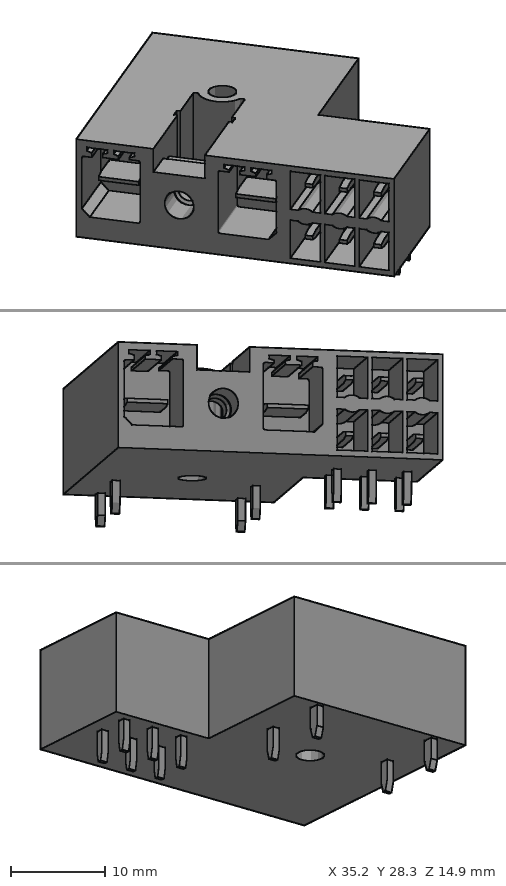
import cadquery as cq
import math


LENGTH = 35.25
DEPTH = 28.3
HEIGHT = 11.42
MID_Z = HEIGHT / 2
POWER_SIDE_LENGTH = 22.9
SIGNAL_SIDE_DEPTH = 13.3
CAVITY_DEPTH = 7.05

SLOT_X = 11.42
SLOT_WIDTH = 5.7
SLOT_END_Y = 14.75
SLOT_CORNER_BULGE = 0.2
LIP_DEPTH = 3.63
LIP_DROP = 2.7
MOUNT_HOLE_Y = 16.05
MOUNT_HOLE_DIAMETER = 3.0
BOSS_RADIUS = 2.6
NOTCH_Y = 9.5
NOTCH_LENGTH = 1.1
NOTCH_DEPTH = 0.4
SCREW_Z = 5.22
SCREW_HOLE_DIAMETER = 3.2

NUT_SIZE = 5.57
NUT_THICKNESS = 2.2
NUT_BORE = 2.5
SLOT_FLOOR_Z = SCREW_Z - NUT_SIZE / 2

POWER_PITCH = 15.23
CAVITY_OUTER_REACH = 3.17
CAVITY_INNER_REACH = 3.28
CAVITY_FLOOR_Z = 2.5
CAVITY_CHAMFER = 0.88
CAVITY_ROUND = 0.25
OUTER_SHELF_Z = 9.52
MIDDLE_SHELF_Z = 9.65
INNER_SHELF_Z = 9.8
SLOT_NECK_NEAR = 0.88
SLOT_NECK_FAR = 2.08
SLOT_HEAD_NEAR = 0.35
SLOT_HEAD_FAR = 2.65
SLOT_NECK_TOP_Z = 10.05
SLOT_HEAD_LOW_Z = 10.23
SLOT_HEAD_TOP_Z = 10.6

SIGNAL_X = 25.42
SIGNAL_PITCH = 3.8
SIGNAL_COLUMNS = 3
SIGNAL_CAVITY_WIDTH = 3.3
SIGNAL_CAVITY_OUTER = 5.08
SIGNAL_CAVITY_INNER = 0.65
BUMP_HALF_WIDTH = 0.8
BUMP_HEIGHT = 0.28

TIP_LENGTH = 1.1
TIP_THICKNESS = 0.42
LEG_WIDTH = 0.85
LEG_BOTTOM_Z = -3.5
BLADE_WIDTH = 4.45
BLADE_THICKNESS = 0.8
BLADE_TIP_Y = 3.0
POWER_LEGS = [(19.57, 1.02), (27.22, 1.15)]
PIN_THICKNESS = 0.85
PIN_TIP_Y = 1.35
PIN_ROW_OFFSET = 3.03
LOWER_PIN_LEG_Y = 8.0
UPPER_PIN_LEG_Y = LOWER_PIN_LEG_Y + SIGNAL_PITCH

POWER_SIDES = (-1, 1)
SIGNAL_ROWS = [(-1, LOWER_PIN_LEG_Y), (1, UPPER_PIN_LEG_Y)]


def box(x_min, x_max, y_min, y_max, z_min, z_max):
    size = (x_max - x_min, y_max - y_min, z_max - z_min)
    return cq.Workplane("XY").box(*size, centered=False).translate((x_min, y_min, z_min))


def extrude_rearward(sketch, depth):
    """Extrude a sketch on an XZ plane towards +Y."""
    return sketch.extrude(-depth)


def housing_block():
    outline = [
        (0, 0),
        (LENGTH, 0),
        (LENGTH, SIGNAL_SIDE_DEPTH),
        (POWER_SIDE_LENGTH, SIGNAL_SIDE_DEPTH),
        (POWER_SIDE_LENGTH, DEPTH),
        (0, DEPTH),
    ]
    return cq.Workplane("XY").polyline(outline).close().extrude(HEIGHT)


def slot_cut():
    """Open-topped slot for the nut, ending in the rounded wall around the mounting hole."""
    half = SLOT_WIDTH / 2
    boss_x = math.sqrt(BOSS_RADIUS**2 - (MOUNT_HOLE_Y - SLOT_END_Y) ** 2)
    corner_mid_x = (half + boss_x) / 2
    corner_mid_y = SLOT_END_Y + SLOT_CORNER_BULGE
    well = (
        cq.Workplane("XY", origin=(SLOT_X, 0, SLOT_FLOOR_Z))
        .moveTo(-half, LIP_DEPTH)
        .lineTo(half, LIP_DEPTH)
        .lineTo(half, SLOT_END_Y)
        .threePointArc((corner_mid_x, corner_mid_y), (boss_x, SLOT_END_Y))
        .threePointArc((0, MOUNT_HOLE_Y - BOSS_RADIUS), (-boss_x, SLOT_END_Y))
        .threePointArc((-corner_mid_x, corner_mid_y), (-half, SLOT_END_Y))
        .close()
        .extrude(HEIGHT - SLOT_FLOOR_Z)
    )
    notch_half_span = half + NOTCH_DEPTH
    notches = box(
        SLOT_X - notch_half_span, SLOT_X + notch_half_span,
        NOTCH_Y - NOTCH_LENGTH / 2, NOTCH_Y + NOTCH_LENGTH / 2,
        SLOT_FLOOR_Z, HEIGHT,
    )
    front_opening = box(SLOT_X - half, SLOT_X + half, 0, LIP_DEPTH, HEIGHT - LIP_DROP, HEIGHT)
    return well.union(notches).union(front_opening)


def mounting_hole_cut():
    return cq.Workplane("XY").center(SLOT_X, MOUNT_HOLE_Y).circle(MOUNT_HOLE_DIAMETER / 2).extrude(HEIGHT)


def screw_hole_cut():
    sketch = cq.Workplane("XZ").center(SLOT_X, SCREW_Z).circle(SCREW_HOLE_DIAMETER / 2)
    return extrude_rearward(sketch, LIP_DEPTH)


def power_cavity_cut(side):
    """Keyed cavity; its chamfered bottom corner lies away from the screw slot."""
    outer = CAVITY_OUTER_REACH
    inner = -CAVITY_INNER_REACH
    outline = [
        (outer - CAVITY_CHAMFER, CAVITY_FLOOR_Z),
        (outer, CAVITY_FLOOR_Z + CAVITY_CHAMFER),
        (outer, OUTER_SHELF_Z),
        (SLOT_NECK_FAR, OUTER_SHELF_Z),
        (SLOT_NECK_FAR, SLOT_NECK_TOP_Z),
        (SLOT_HEAD_FAR, SLOT_HEAD_LOW_Z),
        (SLOT_HEAD_FAR, SLOT_HEAD_TOP_Z),
        (SLOT_HEAD_NEAR, SLOT_HEAD_TOP_Z),
        (SLOT_HEAD_NEAR, SLOT_HEAD_LOW_Z),
        (SLOT_NECK_NEAR, SLOT_NECK_TOP_Z),
        (SLOT_NECK_NEAR, MIDDLE_SHELF_Z),
        (-SLOT_NECK_NEAR, MIDDLE_SHELF_Z),
        (-SLOT_NECK_NEAR, SLOT_NECK_TOP_Z),
        (-SLOT_HEAD_NEAR, SLOT_HEAD_LOW_Z),
        (-SLOT_HEAD_NEAR, SLOT_HEAD_TOP_Z),
        (-SLOT_HEAD_FAR, SLOT_HEAD_TOP_Z),
        (-SLOT_HEAD_FAR, SLOT_HEAD_LOW_Z),
        (-SLOT_NECK_FAR, SLOT_NECK_TOP_Z),
        (-SLOT_NECK_FAR, INNER_SHELF_Z),
        (inner, INNER_SHELF_Z),
        (inner, CAVITY_FLOOR_Z),
    ]
    rounded_corners = [
        (outer, OUTER_SHELF_Z),
        (inner, INNER_SHELF_Z),
        (inner, CAVITY_FLOOR_Z),
    ]
    cavity = extrude_rearward(cq.Workplane("XZ").polyline(outline).close(), CAVITY_DEPTH)
    for x, z in rounded_corners:
        corner = cq.selectors.NearestToPointSelector((x, CAVITY_DEPTH / 2, z))
        cavity = cavity.edges("|Y").edges(corner).fillet(CAVITY_ROUND)
    if side < 0:
        cavity = cavity.mirror("YZ")
    return cavity.translate((power_x(side), 0, 0))


def signal_cavity_cut(x, row):
    """Rectangular cavity with a rounded rib on the wall between the two rows."""
    half = SIGNAL_CAVITY_WIDTH / 2
    inner_z = row * SIGNAL_CAVITY_INNER
    outer_z = row * SIGNAL_CAVITY_OUTER
    sketch = (
        cq.Workplane("XZ", origin=(x, 0, MID_Z))
        .moveTo(-half, outer_z)
        .lineTo(-half, inner_z)
        .lineTo(-BUMP_HALF_WIDTH, inner_z)
        .threePointArc((0, inner_z + row * BUMP_HEIGHT), (BUMP_HALF_WIDTH, inner_z))
        .lineTo(half, inner_z)
        .lineTo(half, outer_z)
        .close()
    )
    return extrude_rearward(sketch, CAVITY_DEPTH)


def tapered_bar(plane, width, thickness, length):
    """Bar along the plane's local Y, tapered in thickness to a tip at the origin."""
    half = thickness / 2
    half_tip = TIP_THICKNESS / 2
    outline = [
        (-half_tip, 0),
        (half_tip, 0),
        (half, TIP_LENGTH),
        (half, length),
        (-half, length),
        (-half, TIP_LENGTH),
    ]
    return cq.Workplane(plane).polyline(outline).close().extrude(width / 2, both=True)


def forward_bar(x, z, width, thickness, tip_y, rear_y):
    plane = cq.Plane(origin=(x, tip_y, z), xDir=(0, 0, 1), normal=(-1, 0, 0))
    return tapered_bar(plane, width, thickness, rear_y - tip_y)


def leg(x, y, thickness, top_z):
    plane = cq.Plane(origin=(x, y, LEG_BOTTOM_Z), xDir=(0, 1, 0), normal=(1, 0, 0))
    return tapered_bar(plane, LEG_WIDTH, thickness, top_z - LEG_BOTTOM_Z)


def power_x(side):
    return SLOT_X + side * POWER_PITCH / 2


def make_power_contact(x):
    last_leg_y, last_leg_thickness = POWER_LEGS[-1]
    rear_y = last_leg_y + last_leg_thickness / 2
    contact = forward_bar(x, MID_Z, BLADE_WIDTH, BLADE_THICKNESS, BLADE_TIP_Y, rear_y)
    for y, thickness in POWER_LEGS:
        contact = contact.union(leg(x, y, thickness, MID_Z + BLADE_THICKNESS / 2))
    return contact


def make_signal_contact(x, row, leg_y):
    z = MID_Z + row * PIN_ROW_OFFSET
    half = PIN_THICKNESS / 2
    pin = forward_bar(x, z, LEG_WIDTH, PIN_THICKNESS, PIN_TIP_Y, leg_y + half)
    return pin.union(leg(x, leg_y, PIN_THICKNESS, z + half))


def make_nut():
    """Square nut against the left slot wall and the front wall, countersunk towards the screw hole."""
    left = SLOT_X - SLOT_WIDTH / 2
    rear = LIP_DEPTH + NUT_THICKNESS
    blank = box(left, left + NUT_SIZE, LIP_DEPTH, rear, SLOT_FLOOR_Z, SLOT_FLOOR_Z + NUT_SIZE)
    front_plane = cq.Workplane("XZ", origin=(left + NUT_SIZE / 2, LIP_DEPTH, SCREW_Z))
    bore = extrude_rearward(front_plane.circle(NUT_BORE / 2), NUT_THICKNESS)
    countersink = cq.Solid.makeCone(
        SCREW_HOLE_DIAMETER / 2, NUT_BORE / 2, (SCREW_HOLE_DIAMETER - NUT_BORE) / 2,
        pnt=front_plane.plane.origin, dir=cq.Vector(0, 1, 0),
    )
    return blank.cut(bore).cut(cq.Workplane(countersink))


signal_xs = [SIGNAL_X + column * SIGNAL_PITCH for column in range(SIGNAL_COLUMNS)]

nut = make_nut()
power_contacts = [make_power_contact(power_x(side)) for side in POWER_SIDES]
signal_contacts = [make_signal_contact(x, row, leg_y) for x in signal_xs for row, leg_y in SIGNAL_ROWS]

housing = housing_block().cut(slot_cut()).cut(mounting_hole_cut()).cut(screw_hole_cut())
for side in POWER_SIDES:
    housing = housing.cut(power_cavity_cut(side))
for x in signal_xs:
    for row, _ in SIGNAL_ROWS:
        housing = housing.cut(signal_cavity_cut(x, row))
for contact in power_contacts + signal_contacts:
    housing = housing.cut(contact)

bodies = [housing, nut, *power_contacts, *signal_contacts]
result = cq.Compound.makeCompound([body.solids().val() for body in bodies])